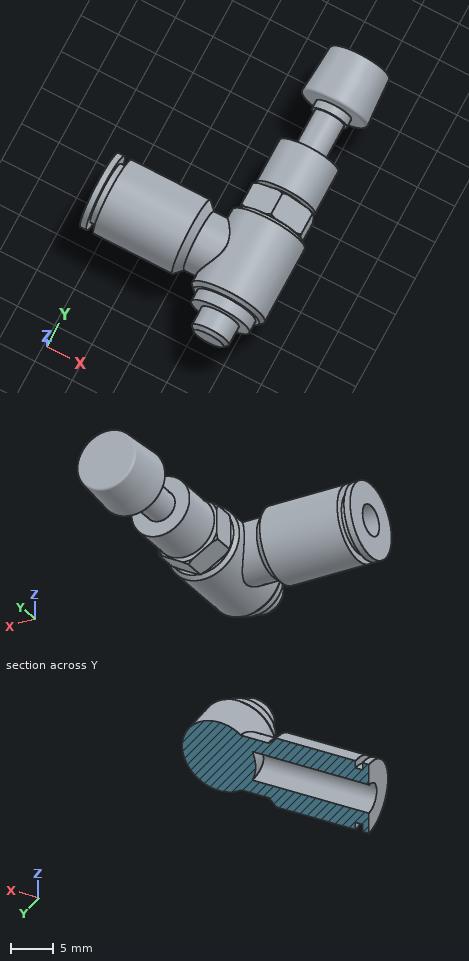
import cadquery as cq
import math

PIN_TOP = 3.0
COLLAR_TOP = 4.52
BODY_TOP = 15.63
NUT_TOP = 18.95
NECK_TOP = 19.45
SLEEVE_TOP = 25.35
ROD_TOP = 30.55
KNOB_BOTTOM = 31.67
STEM_LENGTH = 38.3

PIN_DIA = 5.0
NECK_DIA = 4.9
COLLAR_DIA = 7.85
BODY_DIA = 9.8
SLEEVE_DIA = 7.93
ROD_DIA = 4.0
KNOB_COLLAR_DIA = 4.7
KNOB_WIDE_DIA = 8.9
KNOB_NARROW_DIA = 8.0
EDGE_CHAMFER = 0.5
KNOB_BOTTOM_ROUND = 0.4
KNOB_TOP_ROUND = 0.3

NUT_ACROSS_FLATS = 8.0
NUT_FACE_DIA = 8.58
NUT_CHAMFER_HEIGHT = 0.23

BRANCH_Y = 10.07
OVERALL_WIDTH = 24.8
BRANCH_REACH = OVERALL_WIDTH - BODY_DIA / 2
BRANCH_DIA = 9.9
BRANCH_NECK_DIA = 7.85
FLANGE_WIDTH = 0.85
GROOVE_END = 1.75
BARREL_END = 13.33
BARREL_CHAMFER = (BRANCH_DIA - BRANCH_NECK_DIA) / 2
BORE_DIA = 4.0


def stem_cylinder(diameter, start, end):
    """Cylinder on the stem axis between two stations along Y."""
    return cq.Workplane("XZ", origin=(0, start, 0)).circle(diameter / 2).extrude(start - end)


def branch_cylinder(diameter, start, end):
    """Cylinder on the branch axis between two distances from its open end."""
    plane = cq.Workplane("YZ", origin=(start - BRANCH_REACH, BRANCH_Y, 0))
    return plane.circle(diameter / 2).extrude(end - start)


def make_knob():
    """Tapered knob, widest at its lower end, with both rims rounded."""
    profile = [
        (0, KNOB_BOTTOM),
        (KNOB_WIDE_DIA / 2, KNOB_BOTTOM),
        (KNOB_NARROW_DIA / 2, STEM_LENGTH),
        (0, STEM_LENGTH),
    ]
    knob = cq.Workplane("XY").polyline(profile).close().revolve(360, (0, 0), (0, 1))
    knob = knob.faces("<Y").edges().fillet(KNOB_BOTTOM_ROUND)
    return knob.faces(">Y").edges().fillet(KNOB_TOP_ROUND)


def make_nut():
    """Hexagonal nut with corners along Z, bevelled by a cone at each end."""
    corner_dia = NUT_ACROSS_FLATS / math.cos(math.pi / 6)
    height = NUT_TOP - BODY_TOP
    hexagon = (
        cq.Workplane("XZ", origin=(0, BODY_TOP, 0))
        .transformed(rotate=(0, 0, 90))
        .polygon(6, corner_dia)
        .extrude(-height)
    )
    bevel_width = (corner_dia - NUT_FACE_DIA) / 2
    envelope = stem_cylinder(corner_dia, BODY_TOP, NUT_TOP)
    envelope = envelope.edges("%CIRCLE").chamfer(NUT_CHAMFER_HEIGHT, bevel_width)
    return hexagon.intersect(envelope)


def make_stem():
    """Pin, collar, body, nut, neck, sleeve, rod and knob stacked along Y."""
    pin = stem_cylinder(PIN_DIA, 0, PIN_TOP).faces("<Y").edges().chamfer(EDGE_CHAMFER)
    body = stem_cylinder(BODY_DIA, COLLAR_TOP, BODY_TOP).edges("%CIRCLE").chamfer(EDGE_CHAMFER)
    return (
        pin.union(stem_cylinder(COLLAR_DIA, PIN_TOP, COLLAR_TOP))
        .union(body)
        .union(make_nut())
        .union(stem_cylinder(NECK_DIA, NUT_TOP, NECK_TOP))
        .union(stem_cylinder(SLEEVE_DIA, NECK_TOP, SLEEVE_TOP))
        .union(stem_cylinder(ROD_DIA, SLEEVE_TOP, ROD_TOP))
        .union(stem_cylinder(KNOB_COLLAR_DIA, ROD_TOP, KNOB_BOTTOM))
        .union(make_knob())
    )


def make_branch():
    """Flange, groove and chamfered barrel on a neck that runs to the stem axis."""
    barrel = branch_cylinder(BRANCH_DIA, GROOVE_END, BARREL_END)
    barrel = barrel.faces(">X").edges().chamfer(BARREL_CHAMFER)
    return (
        branch_cylinder(BRANCH_NECK_DIA, 0, BRANCH_REACH)
        .union(branch_cylinder(BRANCH_DIA, 0, FLANGE_WIDTH))
        .union(barrel)
    )


bore = branch_cylinder(BORE_DIA, 0, BRANCH_REACH)
fitting = make_branch().cut(bore).union(make_stem())
result = fitting.translate((0, -STEM_LENGTH / 2, 0))